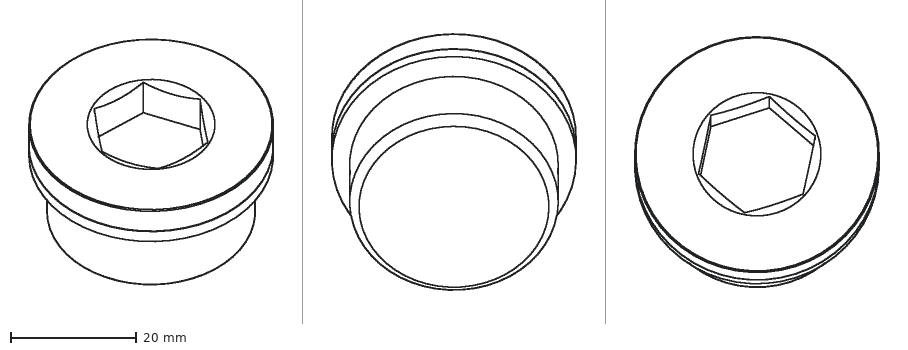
import cadquery as cq
import math

head_diameter = 39.0
total_height = 21.0
head_top_chamfer = 0.2

ring_bottom = 14.0
groove_bottom = 16.22
groove_width = 0.1
groove_diameter = 35.1

shank_diameter = 33.25
shank_end_chamfer = 1.5
shank_neck_chamfer = 1.4

socket_across_flats = 17.0
socket_depth = 7.02
countersink_diameter = 20.4
countersink_slope = 30.0

head_radius = head_diameter / 2
shank_radius = shank_diameter / 2
socket_across_corners = socket_across_flats / math.cos(math.radians(30))


def make_body():
    """Revolve the stepped outside of the plug about Z."""
    end_radius = shank_radius - shank_end_chamfer
    neck_radius = shank_radius - shank_neck_chamfer
    groove_radius = groove_diameter / 2
    groove_top = groove_bottom + groove_width
    profile = [
        (0, 0),
        (end_radius, 0),
        (shank_radius, shank_end_chamfer),
        (shank_radius, ring_bottom - shank_neck_chamfer),
        (neck_radius, ring_bottom),
        (head_radius, ring_bottom),
        (head_radius, groove_bottom),
        (groove_radius, groove_bottom),
        (groove_radius, groove_top),
        (head_radius, groove_top),
        (head_radius, total_height - head_top_chamfer),
        (head_radius - head_top_chamfer, total_height),
        (0, total_height),
    ]
    return cq.Workplane("XZ").polyline(profile).close().revolve(360, (0, 0), (0, 1))


def make_hex_socket():
    """Flat-bottomed hexagonal prism, turned to point along Y."""
    return (
        cq.Workplane("XY", origin=(0, 0, total_height - socket_depth))
        .polygon(6, socket_across_corners)
        .extrude(socket_depth)
        .rotate((0, 0, 0), (0, 0, 1), 90)
    )


def make_countersink():
    """Conical lead-in that trims the mouth of the socket."""
    radius = countersink_diameter / 2
    tip_depth = radius * math.tan(math.radians(countersink_slope))
    profile = [
        (0, total_height),
        (radius, total_height),
        (0, total_height - tip_depth),
    ]
    return cq.Workplane("XZ").polyline(profile).close().revolve(360, (0, 0), (0, 1))


result = make_body().cut(make_hex_socket()).cut(make_countersink())